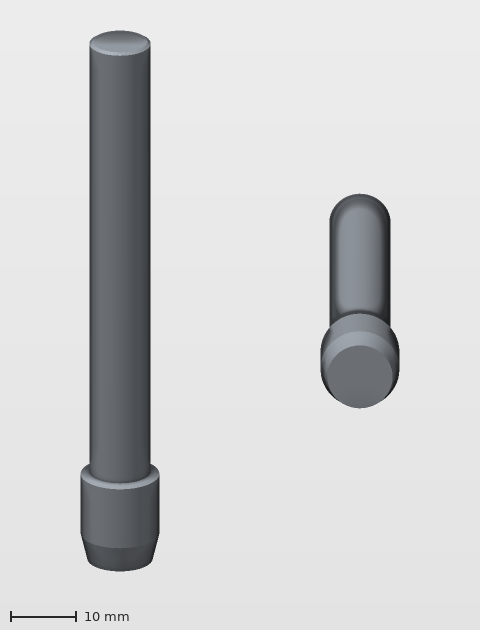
import cadquery as cq

total_length = 85.7

collar_radius = 6.0
neck_radius = 5.0
taper_height = 4.3
collar_shoulder_z = 14.05
collar_top_z = 14.5

shaft_diameter = 9.3
shaft_radius = shaft_diameter / 2
tip_chamfer_width = 0.5
tip_chamfer_height = 0.3


def revolve_about_z(profile):
    """Turn a closed profile (radius, height) into a solid of revolution."""
    return profile.close().revolve(360, (0, 0, 0), (0, 1, 0))


def make_shaft():
    """Plain round rod with a small chamfer at its tip, seated in the collar."""
    profile = (
        cq.Workplane("XZ")
        .lineTo(shaft_radius, 0)
        .lineTo(shaft_radius, total_length - tip_chamfer_height)
        .lineTo(shaft_radius - tip_chamfer_width, total_length)
        .lineTo(0, total_length)
    )
    return revolve_about_z(profile)


def make_collar():
    """Sleeve around the shaft's lower end, with a tapered foot and a sloped shoulder."""
    profile = (
        cq.Workplane("XZ")
        .moveTo(shaft_radius, 0)
        .lineTo(neck_radius, 0)
        .lineTo(collar_radius, taper_height)
        .lineTo(collar_radius, collar_shoulder_z)
        .lineTo(shaft_radius, collar_top_z)
    )
    return revolve_about_z(profile)


shaft = make_shaft()
collar = make_collar()

result = cq.Compound.makeCompound([shaft.val(), collar.val()])